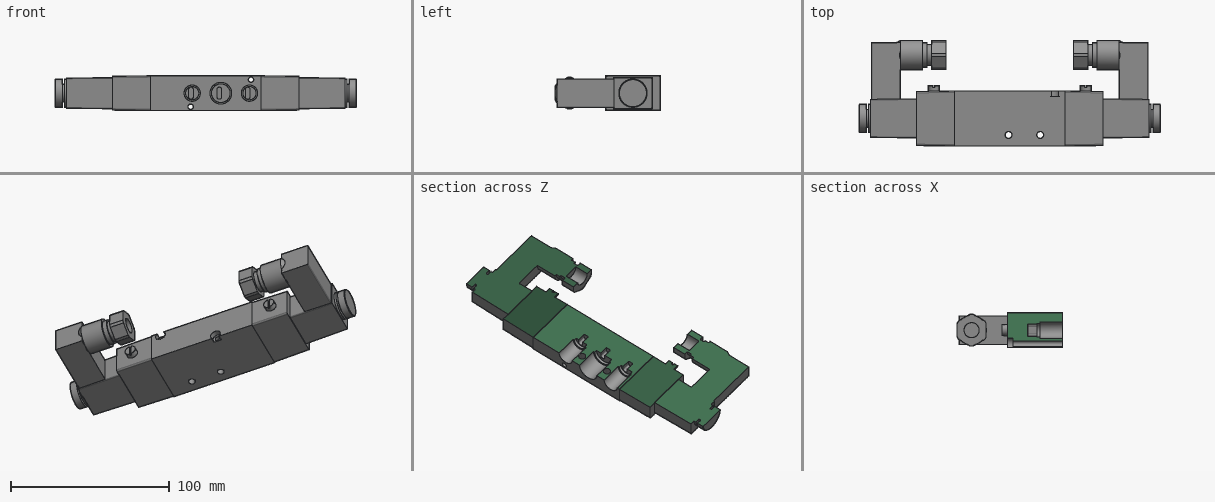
import cadquery as cq
import math

TOTAL_LENGTH = 189.8
DRAFT_ANGLE = 0.7

BODY_LENGTH = 69.5
BODY_DEPTH = 34.7
BODY_HEIGHT = 22.0

PORT_CENTRE_X = 9.5
PORT_PITCH = 18.0
PORT_DEPTH = 14.2
CENTRE_PORT_RADIUS = 6.8
SIDE_PORT_RADIUS = 5.1
INNER_BORE_STEP = 1.0
INNER_BORE_DEPTH = 1.9
SLOT_CENTRE_X = 8.5
SLOT_PITCH = 17.8
SLOT_LENGTH = 7.5
SLOT_WIDTH = 3.0
SLOT_DEPTH = 5.7

MOUNT_HOLE_X = (-0.8, 19.2)
MOUNT_HOLE_Y = 7.0
MOUNT_HOLE_DIAMETER = 4.2

BOLT_HOLE_SPACING = 38.0
BOLT_HOLE_Z = 8.5
BOLT_HOLE_DIAMETER = 3.2
BOLT_HEAD_DIAMETER = 6.6
BOLT_HEAD_DEPTH = 3.5

CAP_LENGTH = 24.1
CAP_FILLET = 1.0
BUTTON_DIAMETER = 7.0
BUTTON_HEIGHT = 3.5
BUTTON_X_FROM_BODY = 13.1
BUTTON_SLOT_WIDTH = 1.1
BUTTON_SLOT_DEPTH = 1.1

COIL_LENGTH = 28.9
COIL_FRONT_Y = 5.1
COIL_BACK_Y = 29.8
COIL_HEIGHT = 19.7
COIL_FILLET = 0.47

KNOB_Y = 17.5
KNOB_RADIUS = 9.0
KNOB_LENGTH = 4.7
KNOB_CHAMFER = 0.4
KNOB_NECK_RADIUS = 5.7
KNOB_GROOVE = 1.1

PLUG_LENGTH = 18.2
PLUG_BACK_Y = 65.1
PLUG_HEIGHT = 18.0
PLUG_INSET = 0.5
PLUG_FILLET = 0.4

GLAND_Y = 57.3
GLAND_RADIUS = 9.3
GLAND_LENGTH = 14.0
GLAND_CONE_LENGTH = 2.8
GLAND_CONE_RADIUS = 7.5
COLLAR_RADIUS = 7.8
COLLAR_LENGTH = 2.8
GLAND_NECK_RADIUS = 6.6
GLAND_NECK_LENGTH = 2.8
NUT_LENGTH = 9.1
NUT_FLATS = 18.5
NUT_CORNERS = 20.1
CABLE_HOLE_DIAMETER = 9.5

CAP_START_X = BODY_LENGTH / 2
COIL_START_X = CAP_START_X + CAP_LENGTH
COIL_END_X = COIL_START_X + COIL_LENGTH
KNOB_END_X = TOTAL_LENGTH / 2
PLUG_END_X = COIL_END_X - PLUG_INSET
PLUG_INNER_X = PLUG_END_X - PLUG_LENGTH


def cylinder_x(x_start, x_end, y, radius):
    """Cylinder along X between two stations."""
    length = x_end - x_start
    return cq.Workplane("YZ", origin=(x_start, y, 0)).circle(radius).extrude(length)


def drafted_block(x_start, length, y_front, y_back, height, fillet):
    """Block growing along +X from its largest section, with drafted sides and rounded long edges."""
    y_middle = (y_front + y_back) / 2
    block = cq.Workplane("YZ", origin=(x_start, y_middle, 0)).rect(y_back - y_front, height)
    return block.extrude(length, taper=DRAFT_ANGLE).edges("not #X").fillet(fillet)


def cut_port(body, index):
    """Blind port stepping down to an inner bore and a slot; index 0 is the larger middle port."""
    radius = CENTRE_PORT_RADIUS if index == 0 else SIDE_PORT_RADIUS
    port_x = PORT_CENTRE_X + index * PORT_PITCH
    slot_x = SLOT_CENTRE_X + index * SLOT_PITCH
    bore_bottom_y = PORT_DEPTH + INNER_BORE_DEPTH
    port = cq.Workplane("XZ", origin=(port_x, 0, 0)).circle(radius).extrude(-PORT_DEPTH)
    inner_bore = (
        cq.Workplane("XZ", origin=(port_x, PORT_DEPTH, 0))
        .circle(radius - INNER_BORE_STEP)
        .extrude(-INNER_BORE_DEPTH)
    )
    slot = (
        cq.Workplane("XZ", origin=(slot_x, bore_bottom_y, 0))
        .slot2D(SLOT_LENGTH, SLOT_WIDTH, 90)
        .extrude(-SLOT_DEPTH)
    )
    return body.cut(port).cut(inner_bore).cut(slot)


def cut_bolt_hole(body, side):
    """Through hole along Y with its head recess in the back face."""
    x = PORT_CENTRE_X + side * BOLT_HOLE_SPACING / 2
    z = side * BOLT_HOLE_Z
    hole = cq.Workplane("XZ", origin=(x, 0, z)).circle(BOLT_HOLE_DIAMETER / 2).extrude(-BODY_DEPTH)
    recess = (
        cq.Workplane("XZ", origin=(x, BODY_DEPTH, z))
        .circle(BOLT_HEAD_DIAMETER / 2)
        .extrude(BOLT_HEAD_DEPTH)
    )
    return body.cut(hole).cut(recess)


def make_body():
    body = cq.Workplane("XY").box(BODY_LENGTH, BODY_DEPTH, BODY_HEIGHT, centered=(True, False, True))
    for index in (-1, 0, 1):
        body = cut_port(body, index)
    for side in (-1, 1):
        body = cut_bolt_hole(body, side)
    mount_holes = (
        cq.Workplane("XY", origin=(0, 0, -BODY_HEIGHT / 2))
        .pushPoints([(x, MOUNT_HOLE_Y) for x in MOUNT_HOLE_X])
        .circle(MOUNT_HOLE_DIAMETER / 2)
        .extrude(BODY_HEIGHT)
    )
    return body.cut(mount_holes)


def make_end_cap():
    """End cap on the +X side of the body."""
    cap = drafted_block(CAP_START_X, CAP_LENGTH, 0, BODY_DEPTH, BODY_HEIGHT, CAP_FILLET)
    button_x = CAP_START_X + BUTTON_X_FROM_BODY
    button_top_y = BODY_DEPTH + BUTTON_HEIGHT
    button = (
        cq.Workplane("XZ", origin=(button_x, button_top_y, 0))
        .circle(BUTTON_DIAMETER / 2)
        .extrude(2 * BUTTON_HEIGHT)
    )
    slot = (
        cq.Workplane("XZ", origin=(button_x, button_top_y, 0))
        .rect(BUTTON_SLOT_WIDTH, BUTTON_DIAMETER)
        .extrude(BUTTON_SLOT_DEPTH)
    )
    return cap.union(button).cut(slot)


def make_knob():
    """Round knob, groove and flange on the outer end of the coil."""
    knob_inner_x = KNOB_END_X - KNOB_LENGTH
    flange_end_x = knob_inner_x - KNOB_GROOVE
    knob = cylinder_x(knob_inner_x, KNOB_END_X, KNOB_Y, KNOB_RADIUS).faces(">X").chamfer(KNOB_CHAMFER)
    neck = cylinder_x(COIL_END_X, knob_inner_x, KNOB_Y, KNOB_NECK_RADIUS)
    flange = cylinder_x(COIL_END_X, flange_end_x, KNOB_Y, KNOB_RADIUS)
    return knob.union(neck).union(flange)


def make_gland():
    """Stepped cable gland, from its cone inside the plug to the hexagonal nut."""
    cone_x = PLUG_INNER_X + GLAND_CONE_LENGTH
    collar_x = PLUG_INNER_X - GLAND_LENGTH
    neck_x = collar_x - COLLAR_LENGTH
    nut_x = neck_x - GLAND_NECK_LENGTH
    profile = [
        (cone_x, 0),
        (cone_x, GLAND_CONE_RADIUS),
        (PLUG_INNER_X, GLAND_RADIUS),
        (collar_x, GLAND_RADIUS),
        (collar_x, COLLAR_RADIUS),
        (neck_x, COLLAR_RADIUS),
        (neck_x, GLAND_NECK_RADIUS),
        (nut_x, GLAND_NECK_RADIUS),
        (nut_x, 0),
    ]
    shank = (
        cq.Workplane("XY", origin=(0, GLAND_Y, 0))
        .polyline(profile)
        .close()
        .revolve(360, (0, 0, 0), (1, 0, 0))
    )
    hexagon_plane = cq.Workplane("YZ", origin=(nut_x, GLAND_Y, 0))
    corner_ratio = 1 / math.cos(math.radians(30))
    trim = hexagon_plane.polygon(6, NUT_CORNERS * corner_ratio).extrude(-NUT_LENGTH)
    nut = (
        hexagon_plane.transformed(rotate=(0, 0, 30))
        .polygon(6, NUT_FLATS * corner_ratio)
        .extrude(-NUT_LENGTH)
        .intersect(trim)
    )
    cable_hole = hexagon_plane.circle(CABLE_HOLE_DIAMETER / 2).extrude(-NUT_LENGTH)
    return shank.union(nut.cut(cable_hole))


def make_solenoid():
    """Coil, knob, plug and cable gland as one solid on the +X side."""
    coil = drafted_block(COIL_START_X, COIL_LENGTH, COIL_FRONT_Y, COIL_BACK_Y, COIL_HEIGHT, COIL_FILLET)
    plug = cq.Workplane("XY").box(
        PLUG_LENGTH, PLUG_BACK_Y - KNOB_Y, PLUG_HEIGHT, centered=(False, False, True)
    )
    plug = plug.translate((PLUG_INNER_X, KNOB_Y, 0)).edges("|Y and >X").fillet(PLUG_FILLET)
    return coil.union(make_knob()).union(plug).union(make_gland())


body = make_body()
right_cap = make_end_cap()
right_solenoid = make_solenoid()

solids = [body.solids().val()]
for right_part in (right_cap, right_solenoid):
    left_part = right_part.mirror("YZ")
    solids += [right_part.solids().val(), left_part.solids().val()]

result = cq.Compound.makeCompound(solids)